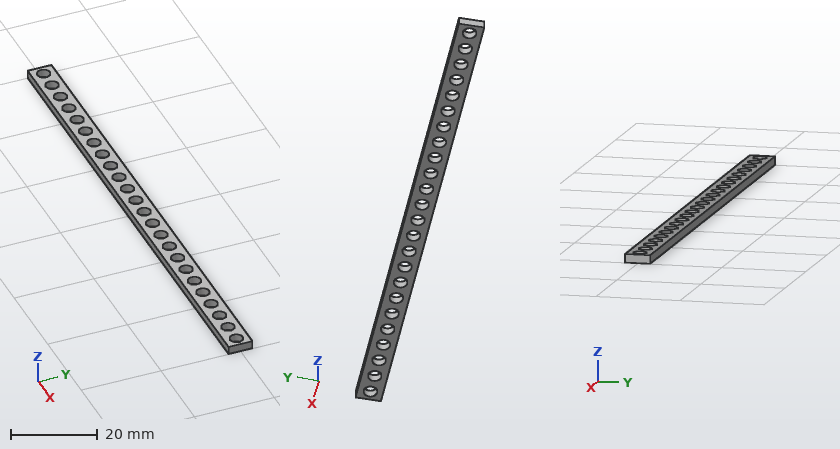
import cadquery as cq

length = 120.0
width = 6.0
thickness = 2.0

hole_count = 24
hole_diameter = 3.1
hole_pitch = length / hole_count

bar = cq.Workplane("XY").box(length, width, thickness)

result = (
    bar.faces(">Z")
    .workplane()
    .rarray(hole_pitch, width, hole_count, 1)
    .hole(hole_diameter)
)